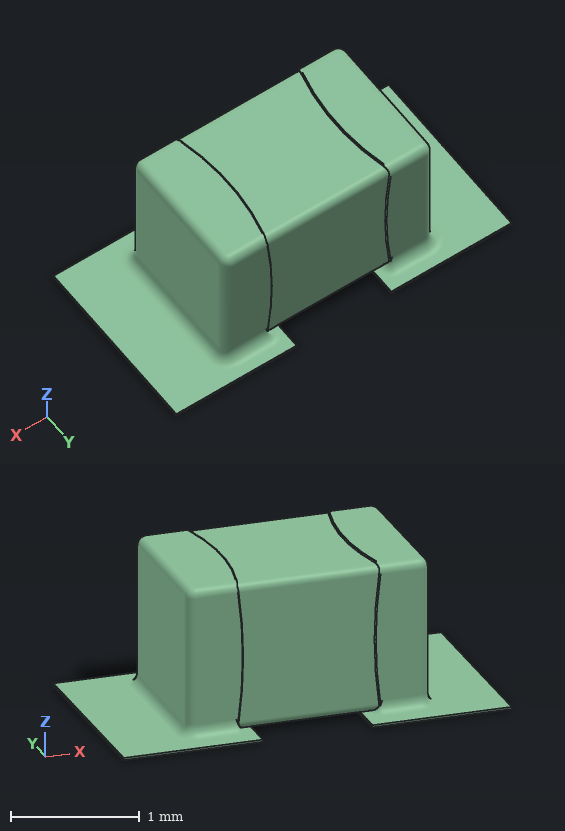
import cadquery as cq

chip_length = 2.0
chip_width = 1.25
chip_height = 1.25
edge_radius = 0.08

coating = 0.01

pad_span = 3.2
pad_length = 1.15
pad_width = 1.65
pad_thickness = 0.02
solder_radius = 0.11
foot_height = solder_radius + coating

band_length = 0.41
top_bulge = 0.088
side_bulge = 0.05

chip_end = -chip_length / 2
band_end = chip_end + band_length
half_width = chip_width / 2
pad_top = pad_thickness
chip_top = pad_top + chip_height
chip_middle = (pad_top + chip_top) / 2


def rounded_block(inset):
    """The chip shrunk by `inset` on every side, with all edges rounded."""
    return (
        cq.Workplane("XY", origin=(0, 0, chip_middle))
        .box(chip_length - 2 * inset, chip_width - 2 * inset, chip_height - 2 * inset)
        .edges()
        .fillet(edge_radius - inset)
    )


def solder_foot():
    """Left pad with the foot of the terminal on it and a concave solder fillet all around."""
    block = (
        cq.Workplane("XY", origin=(chip_end, 0, pad_top))
        .box(band_length, chip_width, foot_height, centered=(False, True, False))
        .edges("<X and |Z")
        .fillet(edge_radius)
        .edges(">X and |Z")
        .fillet(coating)
    )
    pad = cq.Workplane("XY", origin=(-pad_span / 2, 0, 0)).box(
        pad_length, pad_width, pad_thickness, centered=(False, True, False)
    )
    foot = cq.selectors.BoxSelector(
        (chip_end - coating, -half_width - coating, pad_top - coating / 2),
        (band_end + coating, half_width + coating, pad_top + coating / 2),
    )
    return pad.union(block).edges(foot).fillet(solder_radius)


def bulge_outline(plane, low, high, bulge):
    """Area on the given workplane left of an arc that bows out of the band between low and high."""
    return (
        plane.moveTo(chip_end, low)
        .lineTo(band_end, low)
        .threePointArc((band_end + bulge, (low + high) / 2), (band_end, high))
        .lineTo(chip_end, high)
        .close()
    )


def bulged_cap():
    """Left end of the chip up to a rim that bulges on the top, bottom and side faces."""
    top_and_bottom = bulge_outline(
        cq.Workplane("XY"), -half_width, half_width, top_bulge
    ).extrude(chip_top)
    sides = bulge_outline(cq.Workplane("XZ"), pad_top, chip_top, side_bulge).extrude(half_width, both=True)
    cap = rounded_block(0).intersect(top_and_bottom.union(sides))
    rim = cq.selectors.BoxSelector(
        (band_end - 2 * coating, -chip_width, 0),
        (band_end + top_bulge, chip_width, chip_top + coating),
    )
    inner_ridges = cq.selectors.BoxSelector(
        (band_end - 2 * coating, coating / 2 - half_width, pad_top + 2 * edge_radius),
        (band_end + top_bulge, half_width - coating / 2, chip_top - 2 * edge_radius),
    )
    return cap.edges(rim - inner_ridges).fillet(coating)


core = rounded_block(coating)

left_terminal = bulged_cap().cut(core).union(solder_foot().cut(core))
right_terminal = left_terminal.mirror("YZ")

result = cq.Compound.makeCompound([core.val(), *left_terminal.vals(), *right_terminal.vals()])